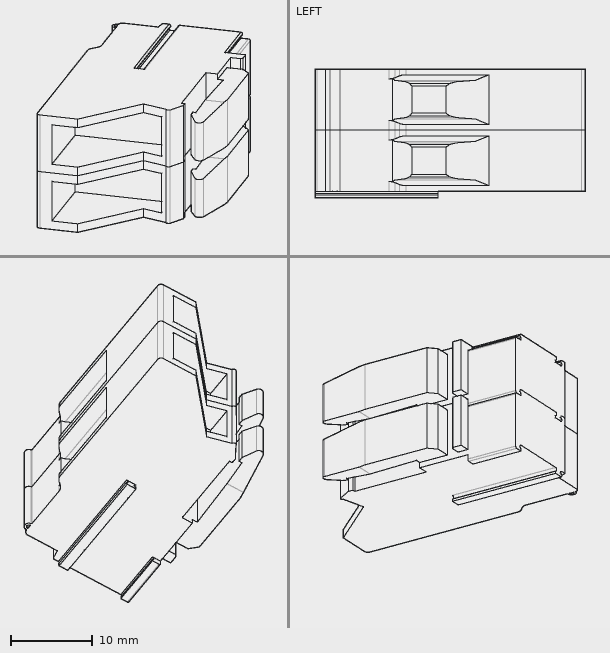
import cadquery as cq
import math


MODULE_COUNT = 2
PITCH = 7.5
MID_HEIGHT = PITCH / 2

LENGTH = 33.18
BODY_WIDTH = 17.53
WIRE_STEP = 1.19
WIRE_STEP_Y = 22.5
WIRE_STEP_INNER_RADIUS = 1.0
WIRE_STEP_OUTER_RADIUS = 1.13
REAR_SHOULDER_Y = 31.88
REAR_SHOULDER_X = 6.12
REAR_STEP_TILT = 9
SHOULDER_RADIUS = 0.55
REAR_RADIUS = 0.25
LEG_WIDTH = 5.3
LEG_RADIUS = 0.5
NOTCH = (11.63, 7.08)
FOOT_TIP_START = (14.77, 6.2)
FOOT_TIP_END = (15.33, 6.1)
FOOT_TIP_RADIUS = 0.32
BARB_X = 16.45
BARB_Y = 8.0
BARB_TOP_Y = 8.66
GAP_X = 16.04
GAP_TOP_Y = 19.12

BEAD_CENTER = (1.15, 30.74)
BEAD_RADIUS = 0.57
BEAD_HOLE_RADIUS = 0.28
BEAD_BLEND_RADIUS = 0.1

ARM_HEIGHT = 6.08
ARM_X = 20.6
ARM_TOP_Y = 23.17
ARM_CHAMFER = 1.0
ARM_BEND_Y = 13.1
ARM_INNER_TOP_X = 18.26
ARM_INNER_LOW_X = 17.87
ARM_BARB_X = 17.46
ARM_TIP = (19.25, 4.87)
ARM_TIP_RADIUS = 0.58
ARM_TAPER_Y = 12.16
ARM_TAPER = 5

TAB_X = 19.03
TAB_Y = (24.75, 26.17)
TAB_CHAMFER = 0.25

POCKET_X = (2.0, 14.16)
POCKET_HEIGHT = 5.22
POCKET_DEPTH = 10.0

FUNNEL_DEPTH = 5.27
FUNNEL_FRONT_Y = 11.86
FUNNEL_BACK_FLOOR_Y = 21.31
FUNNEL_BACK_TILT = 30
FUNNEL_MOUTH_HALF = 3.05
FUNNEL_LEAD_END = (1.63, 2.38)
FUNNEL_THROAT_END = (3.95, 2.2)
FUNNEL_BEND = (4.77, 2.0)
FUNNEL_FLOOR_HALF = 1.66

RAIL_HEIGHT = 0.8
RAIL_NECK_INSET = 0.22
RAIL_NECK_Z = -0.3
RAIL_LIP_Z = -0.48
RAIL_LIP_RADIUS = 0.4
RAIL_LIP_INSET = 0.1
LONG_RAIL_X = (7.13, 8.52)
LONG_RAIL_LENGTH = 15.1
EDGE_RAIL_X = 16.34
EDGE_RAIL_RADIUS = 0.22


def tan_deg(angle):
    return math.tan(math.radians(angle))


def round_corner(body, corner, radius):
    """Fillets the upright edge of the body that stands at the given XY corner."""
    middle = (corner[0], corner[1], MID_HEIGHT)
    return body.edges("|Z").edges(cq.selectors.NearestToPointSelector(middle)).fillet(radius)


def make_shell():
    rear_x = REAR_SHOULDER_X + (LENGTH - REAR_SHOULDER_Y) * tan_deg(REAR_STEP_TILT)
    step_inner = (WIRE_STEP, WIRE_STEP_Y + WIRE_STEP)
    step_outer = (0, WIRE_STEP_Y)
    shoulder = (WIRE_STEP, REAR_SHOULDER_Y)
    shell = (
        cq.Workplane("XY")
        .moveTo(0, 0)
        .lineTo(LEG_WIDTH, 0)
        .lineTo(*NOTCH)
        .lineTo(*FOOT_TIP_START)
        .radiusArc(FOOT_TIP_END, -FOOT_TIP_RADIUS)
        .lineTo(BARB_X, BARB_Y)
        .lineTo(BARB_X, BARB_TOP_Y)
        .lineTo(GAP_X, BARB_TOP_Y)
        .lineTo(GAP_X, GAP_TOP_Y)
        .lineTo(BODY_WIDTH, GAP_TOP_Y)
        .lineTo(BODY_WIDTH, LENGTH)
        .lineTo(rear_x, LENGTH)
        .lineTo(REAR_SHOULDER_X, REAR_SHOULDER_Y)
        .lineTo(*shoulder)
        .lineTo(*step_inner)
        .lineTo(*step_outer)
        .close()
        .extrude(PITCH)
    )
    shell = round_corner(shell, (0, 0), LEG_RADIUS)
    shell = round_corner(shell, (rear_x, LENGTH), REAR_RADIUS)
    shell = round_corner(shell, shoulder, SHOULDER_RADIUS)
    shell = round_corner(shell, step_inner, WIRE_STEP_INNER_RADIUS)
    return round_corner(shell, step_outer, WIRE_STEP_OUTER_RADIUS)


def add_bead(shell):
    bead = cq.Workplane("XY").center(*BEAD_CENTER).circle(BEAD_RADIUS).extrude(PITCH)
    hole = cq.Workplane("XY").center(*BEAD_CENTER).circle(BEAD_HOLE_RADIUS).extrude(PITCH)
    wall = cq.Workplane("XY").box(BEAD_RADIUS, 2 * BEAD_RADIUS, PITCH, centered=(False, True, False))
    wall = wall.translate((WIRE_STEP, BEAD_CENTER[1], 0))
    beaded = shell.union(bead)
    for side in (-1, 1):
        foot = (WIRE_STEP, BEAD_CENTER[1] + side * BEAD_RADIUS)
        beaded = round_corner(beaded, foot, BEAD_BLEND_RADIUS)
    return beaded.cut(hole.cut(wall))


def make_latch_arm():
    bottom = MID_HEIGHT - ARM_HEIGHT / 2
    arm = (
        cq.Workplane("XY", origin=(0, 0, bottom))
        .moveTo(BODY_WIDTH, ARM_TOP_Y)
        .lineTo(ARM_X - ARM_CHAMFER, ARM_TOP_Y)
        .lineTo(ARM_X, ARM_TOP_Y - ARM_CHAMFER)
        .lineTo(ARM_X, ARM_BEND_Y)
        .lineTo(*ARM_TIP)
        .lineTo(ARM_BARB_X, BARB_Y)
        .lineTo(ARM_BARB_X, BARB_TOP_Y)
        .lineTo(ARM_INNER_LOW_X, BARB_TOP_Y)
        .lineTo(ARM_INNER_TOP_X, GAP_TOP_Y)
        .lineTo(BODY_WIDTH, GAP_TOP_Y)
        .close()
        .extrude(ARM_HEIGHT)
    )
    arm = round_corner(arm, ARM_TIP, ARM_TIP_RADIUS)
    half = ARM_HEIGHT / 2
    tip_half = half - ARM_TAPER_Y * tan_deg(ARM_TAPER)
    side_profile = (
        cq.Workplane("YZ", origin=(0, 0, MID_HEIGHT))
        .polyline([
            (0, -tip_half),
            (ARM_TAPER_Y, -half),
            (ARM_TOP_Y, -half),
            (ARM_TOP_Y, half),
            (ARM_TAPER_Y, half),
            (0, tip_half),
        ])
        .close()
        .extrude(ARM_X)
    )
    return arm.intersect(side_profile)


def make_stop_tab():
    bottom = MID_HEIGHT - ARM_HEIGHT / 2
    tab = cq.Workplane("XY").box(
        TAB_X - GAP_X, TAB_Y[1] - TAB_Y[0], PITCH - bottom, centered=False
    ).translate((GAP_X, TAB_Y[0], bottom))
    return tab.edges("|Z and >X and <Y").chamfer(TAB_CHAMFER)


def make_plug_pocket():
    return cq.Workplane("XY").box(
        POCKET_X[1] - POCKET_X[0], POCKET_DEPTH, POCKET_HEIGHT, centered=(False, False, True)
    ).translate((POCKET_X[0], 0, MID_HEIGHT))


def make_wire_funnel():
    """Space of the funnel: its Y walls are flat, its Z walls bend inwards in strips."""
    back_wall_y = FUNNEL_BACK_FLOOR_Y + (FUNNEL_DEPTH - WIRE_STEP) * tan_deg(FUNNEL_BACK_TILT)
    back_mouth_y = WIRE_STEP_Y + WIRE_STEP + WIRE_STEP_INNER_RADIUS * tan_deg(45 / 2)
    plan = (
        cq.Workplane("XY")
        .polyline([
            (0, FUNNEL_FRONT_Y),
            (FUNNEL_DEPTH, FUNNEL_FRONT_Y + FUNNEL_DEPTH),
            (FUNNEL_DEPTH, FUNNEL_BACK_FLOOR_Y),
            (WIRE_STEP, back_wall_y),
            (WIRE_STEP, back_mouth_y),
            (0, back_mouth_y),
        ])
        .close()
        .extrude(PITCH)
    )
    upper_half = (
        cq.Workplane("XZ", origin=(0, back_mouth_y, MID_HEIGHT))
        .moveTo(0, 0)
        .lineTo(0, FUNNEL_MOUTH_HALF)
        .lineTo(*FUNNEL_LEAD_END)
        .lineTo(*FUNNEL_THROAT_END)
        .lineTo(*FUNNEL_BEND)
        .lineTo(FUNNEL_DEPTH, FUNNEL_FLOOR_HALF)
        .lineTo(FUNNEL_DEPTH, 0)
        .close()
        .extrude(back_mouth_y - FUNNEL_FRONT_Y)
    )
    lower_half = upper_half.mirror("XY", (0, 0, MID_HEIGHT))
    return plan.intersect(upper_half.union(lower_half))


def start_rail(left):
    """Starts a rail section at its top left, down the left-hand undercut to the lip."""
    return (
        cq.Workplane("XZ", origin=(0, LENGTH, 0))
        .moveTo(left, 0)
        .radiusArc((left + RAIL_NECK_INSET, RAIL_NECK_Z), -RAIL_NECK_Z)
        .lineTo(left, RAIL_LIP_Z)
    )


def make_long_rail():
    left, right = LONG_RAIL_X
    return (
        start_rail(left)
        .radiusArc((left + RAIL_LIP_INSET, -RAIL_HEIGHT), -RAIL_LIP_RADIUS)
        .lineTo(right, -RAIL_HEIGHT)
        .lineTo(right, RAIL_LIP_Z)
        .threePointArc((right - RAIL_NECK_INSET, RAIL_LIP_Z / 2), (right, 0))
        .close()
        .extrude(LONG_RAIL_LENGTH)
    )


def make_edge_rail(corner_rise):
    """Rail flush with the +X side; its lower outer corner ends in an arc that rises by corner_rise."""
    return (
        start_rail(EDGE_RAIL_X)
        .lineTo(EDGE_RAIL_X, -RAIL_HEIGHT)
        .lineTo(BODY_WIDTH - EDGE_RAIL_RADIUS, -RAIL_HEIGHT)
        .radiusArc((BODY_WIDTH, corner_rise - RAIL_HEIGHT), -corner_rise)
        .lineTo(BODY_WIDTH, 0)
        .close()
        .extrude(LENGTH - TAB_Y[1])
    )


def make_module():
    module = add_bead(make_shell()).union(make_latch_arm()).union(make_stop_tab())
    module = module.cut(make_plug_pocket()).cut(make_wire_funnel())
    long_rail = make_long_rail()
    module = module.union(long_rail).union(make_edge_rail(EDGE_RAIL_RADIUS))
    edge_groove = make_edge_rail(-EDGE_RAIL_RADIUS)
    for groove in (long_rail, edge_groove):
        module = module.cut(groove.translate((0, 0, PITCH)))
    return module


module = make_module()
modules = [module.translate((0, 0, index * PITCH)).solids().val() for index in range(MODULE_COUNT)]
result = cq.Compound.makeCompound(modules)